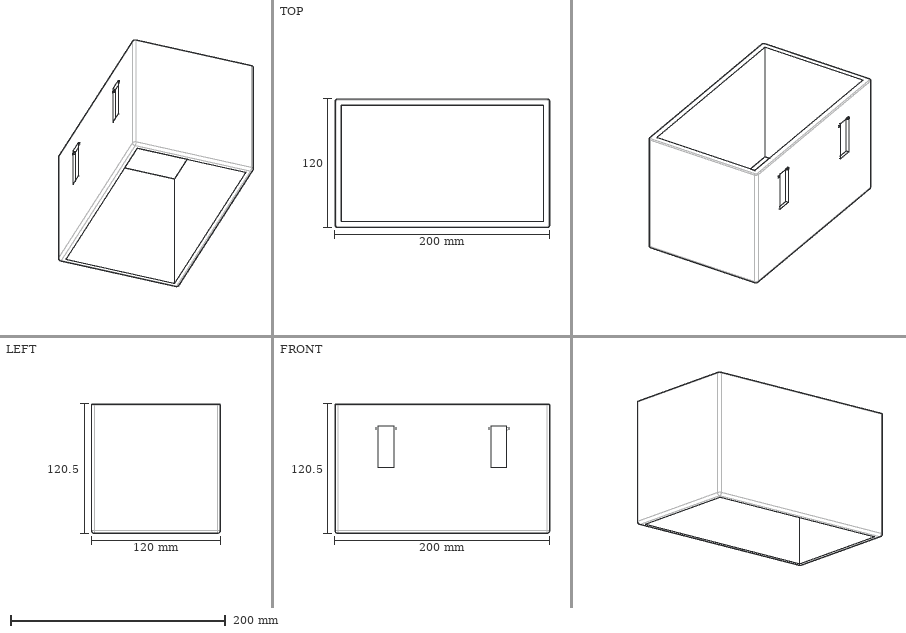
import cadquery as cq
length = 200.0
depth = 120.0
height = 120.5
wall = 6.0
corner_radius = 2.5
rim_radius = 1.0

recess_width = 14.5
recess_height = 38.5
recess_depth = 2.8
recess_spacing = 105.2
recess_top_gap = 20.5

pin_diameter = 2.2
pin_reach = 2.0
pin_drop = 2.5
pin_cover = 0.2

front_y = -depth / 2
recess_top = height - recess_top_gap


def make_sleeve():
    """Rounded box with a sharp-edged rectangular opening right through."""
    body = cq.Workplane("XY").box(length, depth, height, centered=(True, True, False))
    body = body.edges("|Z or <Z").fillet(corner_radius)
    body = body.faces(">Z").edges().fillet(rim_radius)
    opening = cq.Workplane("XY").rect(length - 2 * wall, depth - 2 * wall).extrude(height)
    return body.cut(opening)


def make_recess_cutter(center_x):
    """Shallow rectangular recess with a pin hole crossing its upper end."""
    recess = (
        cq.Workplane("XY")
        .box(recess_width, recess_depth, recess_height, centered=(True, False, False))
        .translate((center_x, front_y, recess_top - recess_height))
    )
    pin_length = recess_width + 2 * pin_reach
    pin_y = front_y + pin_cover + pin_diameter / 2
    pin = (
        cq.Workplane("YZ")
        .center(pin_y, recess_top - pin_drop)
        .circle(pin_diameter / 2)
        .extrude(pin_length / 2, both=True)
        .translate((center_x, 0, 0))
    )
    return recess.union(pin)


result = make_sleeve()
for side in (-1, 1):
    result = result.cut(make_recess_cutter(side * recess_spacing / 2))